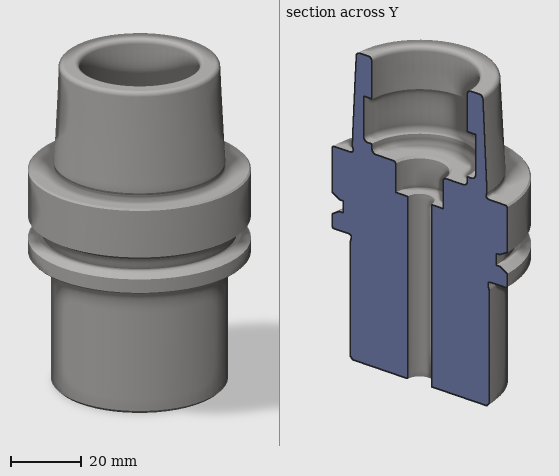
import cadquery as cq
import math

TOTAL_HEIGHT = 97.0
FLANGE_TOP = 65.0
FLANGE_BOTTOM = 39.1
GROOVE_TOP = 50.3
GROOVE_BOTTOM = 43.65

FLANGE_RADIUS = 63.0 / 2
FLANGE_CHAMFER = 0.5
GROOVE_FLOOR_RADIUS = 55.0 / 2
GROOVE_SIDE_ANGLE = 30.0
GROOVE_SIDE_RUN = 2.7
GROOVE_SIDE_RISE = GROOVE_SIDE_RUN * math.tan(math.radians(GROOVE_SIDE_ANGLE))

TAPER_BASE = 66.9
TAPER_BASE_RADIUS = 24.25
TAPER_HALF_RATIO = 1 / 20
TAPER_TOP_RADIUS = TAPER_BASE_RADIUS - (TOTAL_HEIGHT - TAPER_BASE) * TAPER_HALF_RATIO
RIM_OUTER_FILLET = 1.3
RELIEF_RADIUS = 24.0
RELIEF_TOP = 66.25
RELIEF_COLLAR_RADIUS = 25.3
RELIEF_COLLAR_HEIGHT = 0.1

BODY_RADIUS = 50.0 / 2
BODY_TOP = 36.8
BODY_CHAMFER = 1.0
NECK_RADIUS = 49.3 / 2
NECK_BOTTOM = 37.9
FLANGE_ROOT_FILLET = 0.7

BORE_RADIUS = 34.0 / 2
BORE_FILLET = 1.4
LIP_BOTTOM = 83.8
UNDERCUT_RADIUS = 40.0 / 2
UNDERCUT_FLOOR = 69.8
POCKET_DEPTH = 2.9
POCKET_FLOOR = UNDERCUT_FLOOR - POCKET_DEPTH

COUNTERBORE_RADIUS = 16.9 / 2
COUNTERBORE_CHAMFER = 0.7
COUNTERBORE_DEPTH = 9.7
THROUGH_HOLE_RADIUS = 8.4 / 2

ARC_45 = math.sqrt(0.5)


def revolve_profile(profile):
    """Close a half section drawn in the XZ plane and turn it about Z."""
    return profile.close().revolve(360, (0, 0), (0, 1))


def root_fillet_middle(radius, face_height, side):
    """Middle of the fillet from a wall to a flange face; side is +1 above the face, -1 below."""
    inset = FLANGE_ROOT_FILLET * (1 - ARC_45)
    return radius + inset, face_height + side * inset


def make_outside():
    groove_side_radius = FLANGE_RADIUS - GROOVE_SIDE_RUN
    root_radius = NECK_RADIUS + FLANGE_ROOT_FILLET
    collar_top = FLANGE_TOP + RELIEF_COLLAR_HEIGHT
    rim_edge = RIM_OUTER_FILLET * (1 - ARC_45)
    fillet_foot_radius = TAPER_TOP_RADIUS + RIM_OUTER_FILLET * TAPER_HALF_RATIO
    profile = (
        cq.Workplane("XZ")
        .moveTo(0, 0)
        .lineTo(BODY_RADIUS - BODY_CHAMFER, 0)
        .lineTo(BODY_RADIUS, BODY_CHAMFER)
        .lineTo(BODY_RADIUS, BODY_TOP)
        .lineTo(NECK_RADIUS, NECK_BOTTOM)
        .lineTo(NECK_RADIUS, FLANGE_BOTTOM - FLANGE_ROOT_FILLET)
        .threePointArc(
            root_fillet_middle(NECK_RADIUS, FLANGE_BOTTOM, -1),
            (root_radius, FLANGE_BOTTOM),
        )
        .lineTo(FLANGE_RADIUS - FLANGE_CHAMFER, FLANGE_BOTTOM)
        .lineTo(FLANGE_RADIUS, FLANGE_BOTTOM + FLANGE_CHAMFER)
        .lineTo(FLANGE_RADIUS, GROOVE_BOTTOM)
        .lineTo(groove_side_radius, GROOVE_BOTTOM + GROOVE_SIDE_RISE)
        .lineTo(GROOVE_FLOOR_RADIUS, GROOVE_BOTTOM + GROOVE_SIDE_RISE)
        .lineTo(GROOVE_FLOOR_RADIUS, GROOVE_TOP - GROOVE_SIDE_RISE)
        .lineTo(groove_side_radius, GROOVE_TOP - GROOVE_SIDE_RISE)
        .lineTo(FLANGE_RADIUS, GROOVE_TOP)
        .lineTo(FLANGE_RADIUS, FLANGE_TOP - FLANGE_CHAMFER)
        .lineTo(FLANGE_RADIUS - FLANGE_CHAMFER, FLANGE_TOP)
        .lineTo(RELIEF_COLLAR_RADIUS, FLANGE_TOP)
        .lineTo(RELIEF_RADIUS + FLANGE_ROOT_FILLET, collar_top)
        .threePointArc(
            root_fillet_middle(RELIEF_RADIUS, collar_top, 1),
            (RELIEF_RADIUS, collar_top + FLANGE_ROOT_FILLET),
        )
        .lineTo(RELIEF_RADIUS, RELIEF_TOP)
        .lineTo(TAPER_BASE_RADIUS, TAPER_BASE)
        .lineTo(fillet_foot_radius, TOTAL_HEIGHT - RIM_OUTER_FILLET)
        .threePointArc(
            (TAPER_TOP_RADIUS - rim_edge, TOTAL_HEIGHT - rim_edge),
            (TAPER_TOP_RADIUS - RIM_OUTER_FILLET, TOTAL_HEIGHT),
        )
        .lineTo(0, TOTAL_HEIGHT)
    )
    return revolve_profile(profile)


def make_cavity():
    inset = BORE_FILLET * (1 - ARC_45)
    counterbore_floor = POCKET_FLOOR - COUNTERBORE_DEPTH
    profile = (
        cq.Workplane("XZ")
        .moveTo(0, 0)
        .lineTo(THROUGH_HOLE_RADIUS, 0)
        .lineTo(THROUGH_HOLE_RADIUS, counterbore_floor)
        .lineTo(COUNTERBORE_RADIUS, counterbore_floor)
        .lineTo(COUNTERBORE_RADIUS, POCKET_FLOOR - COUNTERBORE_CHAMFER)
        .lineTo(COUNTERBORE_RADIUS + COUNTERBORE_CHAMFER, POCKET_FLOOR)
        .lineTo(BORE_RADIUS - BORE_FILLET, POCKET_FLOOR)
        .threePointArc(
            (BORE_RADIUS - inset, POCKET_FLOOR + inset),
            (BORE_RADIUS, POCKET_FLOOR + BORE_FILLET),
        )
        .lineTo(BORE_RADIUS, UNDERCUT_FLOOR)
        .lineTo(UNDERCUT_RADIUS - BORE_FILLET, UNDERCUT_FLOOR)
        .threePointArc(
            (UNDERCUT_RADIUS - inset, UNDERCUT_FLOOR + inset),
            (UNDERCUT_RADIUS, UNDERCUT_FLOOR + BORE_FILLET),
        )
        .lineTo(UNDERCUT_RADIUS, LIP_BOTTOM)
        .lineTo(BORE_RADIUS, LIP_BOTTOM)
        .lineTo(BORE_RADIUS, TOTAL_HEIGHT - BORE_FILLET)
        .threePointArc(
            (BORE_RADIUS + inset, TOTAL_HEIGHT - inset),
            (BORE_RADIUS + BORE_FILLET, TOTAL_HEIGHT),
        )
        .lineTo(0, TOTAL_HEIGHT)
    )
    return revolve_profile(profile)


result = make_outside().cut(make_cavity())